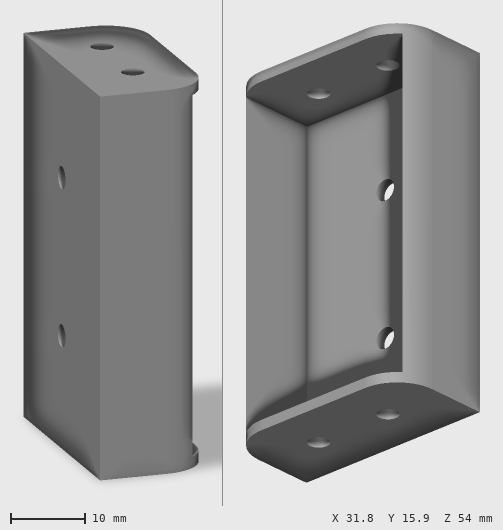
import cadquery as cq

height = 54.0
width = 31.75
depth = width / 2

wall = 1.55
corner_radius = width / 5

hole_diameter = 3.2
front_hole_spacing = 22.25
end_hole_spacing = 2 * corner_radius


def make_body():
    """Upright block, centred on the origin, with its two rear edges rounded."""
    block = cq.Workplane("XY").box(width, depth, height)
    return block.edges("|Z and >Y").fillet(corner_radius)


def make_cavity():
    """Rectangular pocket, open at the rear, leaving the front, side and end walls."""
    return (
        cq.Workplane("XY")
        .box(width - 2 * wall, depth, height - 2 * wall)
        .translate((0, wall, 0))
    )


def make_front_holes():
    """Two holes through the front wall, one above the other."""
    return (
        cq.Workplane("XZ")
        .pushPoints([(0, side * front_hole_spacing / 2) for side in (-1, 1)])
        .circle(hole_diameter / 2)
        .extrude(depth, both=True)
    )


def make_end_holes():
    """Two side-by-side holes through both end walls."""
    return (
        cq.Workplane("XY")
        .pushPoints([(side * end_hole_spacing / 2, 0) for side in (-1, 1)])
        .circle(hole_diameter / 2)
        .extrude(height, both=True)
    )


result = make_body().cut(make_cavity()).cut(make_front_holes()).cut(make_end_holes())